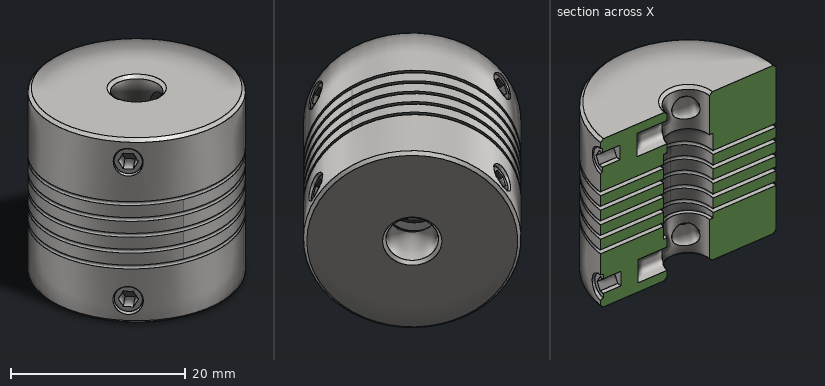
import cadquery as cq
import math

outer_diameter = 25.0
body_length = 24.0
bore_diameter = 6.0
edge_chamfer = 0.4

relief_diameter = 7.0
relief_length = body_length / 2

slit_width = 0.5
slit_rise = 10.32
slit_bottom_z = -5.55
slit_start_angle = 169.9
slit_full_turns = 5
slit_extra_angle = 1.6
slit_pitch = slit_rise / (slit_full_turns + slit_extra_angle / 360)
cut_margin = 0.5

screw_angles = (-30.0, 90.0)
screw_end_distance = 3.0
screw_hole_diameter = 3.25
screw_mouth_diameter = 3.6
upper_screw_radius = 12.25
lower_screw_radius = 12.1

screw_length = 5.0
socket_across_flats = 2.0
socket_depth = 2.5

outer_radius = outer_diameter / 2
screw_z = body_length / 2 - screw_end_distance


def make_body():
    """Chamfered cylinder with a chamfered bore that widens in the middle."""
    body = (
        cq.Workplane("XY")
        .circle(outer_radius)
        .circle(bore_diameter / 2)
        .extrude(body_length / 2, both=True)
        .faces("<Z or >Z")
        .chamfer(edge_chamfer)
    )
    relief = cq.Workplane("XY").circle(relief_diameter / 2).extrude(relief_length / 2, both=True)
    return body.cut(relief)


def make_slit_section(start_angle, sweep_angle):
    """Stretch of the slit: a rectangle in a radial plane carried along a helix around Z."""
    inner_radius = relief_diameter / 2 - cut_margin
    radial_depth = outer_radius + cut_margin - inner_radius
    middle_radius = inner_radius + radial_depth / 2
    path = cq.Wire.makeHelix(slit_pitch, slit_pitch * sweep_angle / 360, middle_radius)
    return (
        cq.Workplane("XZ")
        .center(middle_radius, 0)
        .rect(radial_depth, slit_width)
        .sweep(cq.Workplane(obj=path), isFrenet=True)
        .rotate((0, 0, 0), (0, 0, 1), slit_start_angle + start_angle)
        .translate((0, 0, slit_bottom_z + slit_pitch * start_angle / 360))
    )


def cut_slit(body):
    """Cut the slit, wall deep, in equal sections of about one turn each."""
    section_angle = 360 + slit_extra_angle / slit_full_turns
    for section in range(slit_full_turns):
        body = body.cut(make_slit_section(section * section_angle, section_angle))
    return body


def radial_plane(angle, radius, z):
    """Plane facing outward at the given angle; its local X runs around the body."""
    c = math.cos(math.radians(angle))
    s = math.sin(math.radians(angle))
    return cq.Plane(origin=(radius * c, radius * s, z), xDir=(-s, c, 0), normal=(c, s, 0))


def make_screw_hole(angle, z, screw_radius):
    """Radial hole from the bore outward, with a mouth that flares above the screw."""
    axis_plane = radial_plane(angle, 0, z)
    hole = cq.Workplane(axis_plane).circle(screw_hole_diameter / 2).extrude(outer_radius)
    mouth = (
        cq.Workplane(radial_plane(angle, screw_radius, z))
        .circle(screw_hole_diameter / 2)
        .workplane(offset=outer_radius - screw_radius)
        .circle(screw_mouth_diameter / 2)
        .loft()
    )
    return hole.union(mouth)


def make_screw(angle, z, screw_radius):
    """Set screw filling its hole, with a hexagon socket in the outer end."""
    across_corners = socket_across_flats / math.cos(math.radians(30))
    outer_end = cq.Workplane(radial_plane(angle, screw_radius, z))
    shank = outer_end.circle(screw_hole_diameter / 2).extrude(-screw_length)
    socket = outer_end.polygon(6, across_corners).extrude(-socket_depth)
    return shank.cut(socket)


result = cut_slit(make_body())
for screw_angle in screw_angles:
    for z, screw_radius in ((screw_z, upper_screw_radius), (-screw_z, lower_screw_radius)):
        result = result.cut(make_screw_hole(screw_angle, z, screw_radius))
        result = result.union(make_screw(screw_angle, z, screw_radius))